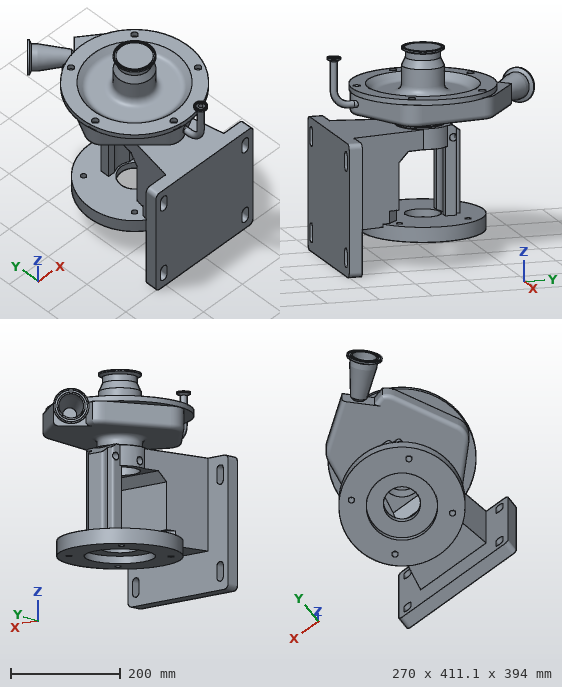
import cadquery as cq
import math


PLATE_SIZE = 250.0
PLATE_THICKNESS = 25.0
PLATE_FRONT_Y = -180.0
PLATE_BACK_Y = PLATE_FRONT_Y + PLATE_THICKNESS
PLATE_CORNER_RADIUS = 10.0
SLOT_WIDTH = 16.0
SLOT_LENGTH = 36.0
SLOT_SPACING_X = 210.0
SLOT_SPACING_Z = 180.0

MOTOR_FLANGE_RADIUS = 115.0
MOTOR_FLANGE_BOTTOM = 54.3
MOTOR_FLANGE_TOP = 82.5
MOTOR_BORE_RADIUS = 33.7
MOTOR_SPIGOT_RADIUS = 65.0
MOTOR_SPIGOT_DEPTH = 13.5
MOTOR_BOLT_CIRCLE_RADIUS = 93.0
MOTOR_BOLT_DIAMETER = 11.0
MOTOR_BOLT_COUNT = 4
MOTOR_BOLT_START_ANGLE = 45

HUB_RADIUS = 50.0
HUB_BORE_RADIUS = 37.5
HUB_BOTTOM = 212.5
HUB_TOP = 251.5
HUB_HOLE_DIAMETER = 15.0
HUB_HOLE_Z = 225.0
ARM_BOTTOM = 77.0
ARM_HUB_Y = -14.5
ARM_HUB_HALF_WIDTH = 48.0
ARM_PLATE_HALF_WIDTH = 75.0
ARM_FACE_Y = -63.5
ARM_CHAMFER = 18.5
BOLT_RELIEF_TOP = 105.2
BOLT_RELIEF_CLEARANCE = 15.5
LEG_FRONT_Y = 32.0
LEG_STEP_Y = 54.5
LEG_BACK_Y = 66.0
LEG_HALF_WIDTH = 34.5
LEG_RIB_HALF_WIDTH = 20.0
LEG_CORNER_RADIUS = 4.5
LEG_RIB_CORNER_RADIUS = 5.8
LEG_CHAMFER_Y = 19.7
LEG_CHAMFER_Z = 15.2
LEG_HOLE_DIAMETER = 14.0
LEG_HOLE_Y = 47.3
LEG_HOLE_Z = 228.5

CASING_BOTTOM = 273.0
CASING_APOTHEM = 114.5
CASING_CORNER_RADIUS = 34.5
CASING_FILLET = 8.5
CASING_SIDES = 5
FIRST_CORNER_ANGLE = 189
PLAIN_CORNER_COUNT = 3
SIDE_ANGLE = 360 / CASING_SIDES
OUTLET_ANGLE = 135
OUTLET_WALL_ANGLE = 54
OUTLET_WALL_OFFSET = 140.5
OUTLET_FACE_OFFSET = 110.0
OUTLET_FACE_INNER_EDGE = 65.8
VOLUTE_CORNER_SHIFT = 11.5
VOLUTE_CORNER_END_ANGLE = 114
NECK_RADIUS = 41.5
NECK_FILLET = 10.0
NECK_PILOT_RADIUS = 40.3
NECK_PILOT_HEIGHT = 1.5

COVER_DIAMETER = 270.0
COVER_BOTTOM = 315.3
COVER_TOP = 325.0
COVER_BOLT_CIRCLE_RADIUS = 121.5
COVER_BOLT_DIAMETER = 13.0
DISH_RADIUS = 105.0
DISH_FILLET = 15.2
DISH_DEPTH = DISH_FILLET
DISH_SLOPE_ANGLE = 45

FERRULE_RIM = 3.3
FERRULE_HEIGHT = 7.0
FERRULE_GROOVE_DEPTH = 1.2
FERRULE_GROOVE_SHARE = 0.4

INLET_TOP = 394.0
INLET_RADIUS = 39.0
INLET_NECK_RADIUS = 32.0
INLET_TAPER_BOTTOM = 359.5
INLET_TAPER_TOP = 375.0

OUTLET_Z = 292.5
OUTLET_SIDE_OFFSET = 95.5
OUTLET_END = 195.0
OUTLET_TAPER_START = 115.0
OUTLET_TAPER_END = 176.5
OUTLET_ROOT_RADIUS = 10.0
OUTLET_SMALL_RADIUS = 15.2
OUTLET_LARGE_RADIUS = 25.0
OUTLET_FERRULE_RADIUS = 32.5
OUTLET_BORE_RADIUS = 22.5
OUTLET_BORE_MIDDLE_RADIUS = 21.5
OUTLET_BORE_SMALL_RADIUS = 12.7
OUTLET_BORE_STRAIGHT = 12.7
OUTLET_BORE_MIDDLE_DEPTH = 25.0

DRAIN_Y = -170.0
DRAIN_Z = 295.5
DRAIN_TOP = 385.5
DRAIN_RADIUS = 6.5
DRAIN_BORE_RADIUS = 4.5
DRAIN_BEND_RADIUS = 28.5
DRAIN_START_Y = -107.0
DRAIN_BORE_START_Y = -131.5
DRAIN_FERRULE_RADIUS = 12.7


def polar(radius, angle, center=(0, 0)):
    """Point at a radius and an angle in degrees around a center."""
    turn = math.radians(angle)
    return (center[0] + radius * math.cos(turn), center[1] + radius * math.sin(turn))


def line_crossing(angle_a, offset_a, angle_b, offset_b):
    """Crossing of two lines, each given by the angle of its normal and its distance from the axis."""
    a, b = math.radians(angle_a), math.radians(angle_b)
    det = math.sin(b - a)
    x = (offset_a * math.sin(b) - offset_b * math.sin(a)) / det
    y = (offset_b * math.cos(a) - offset_a * math.cos(b)) / det
    return (x, y)


def cylinder(radius, bottom, top):
    return cq.Workplane("XY").workplane(offset=bottom).circle(radius).extrude(top - bottom)


def ferrule_groove(outer_radius, bore_radius):
    """Sealing groove in a ferrule face at Z = 0, midway between bore and rim."""
    middle = (outer_radius + bore_radius) / 2
    half_width = FERRULE_GROOVE_SHARE * (outer_radius - bore_radius) / 2
    ring = cq.Workplane("XY").circle(middle + half_width).circle(middle - half_width)
    return ring.extrude(-FERRULE_GROOVE_DEPTH)


def mounting_plate():
    plate = (
        cq.Workplane("XZ", origin=(0, PLATE_BACK_Y, PLATE_SIZE / 2))
        .rect(PLATE_SIZE, PLATE_SIZE)
        .extrude(PLATE_THICKNESS)
        .edges("|Y")
        .fillet(PLATE_CORNER_RADIUS)
    )
    slots = (
        cq.Workplane("XZ", origin=(0, PLATE_BACK_Y, PLATE_SIZE / 2))
        .rect(SLOT_SPACING_X, SLOT_SPACING_Z, forConstruction=True)
        .vertices()
        .slot2D(SLOT_LENGTH, SLOT_WIDTH, 90)
        .extrude(PLATE_THICKNESS)
    )
    return plate.cut(slots)


def motor_flange():
    spigot_top = MOTOR_FLANGE_BOTTOM + MOTOR_SPIGOT_DEPTH
    disc = cylinder(MOTOR_FLANGE_RADIUS, MOTOR_FLANGE_BOTTOM, MOTOR_FLANGE_TOP)
    disc = disc.cut(cylinder(MOTOR_SPIGOT_RADIUS, MOTOR_FLANGE_BOTTOM, spigot_top))
    return (
        disc.faces(">Z")
        .workplane(origin=(0, 0, MOTOR_FLANGE_TOP))
        .hole(2 * MOTOR_BORE_RADIUS)
        .polarArray(MOTOR_BOLT_CIRCLE_RADIUS, MOTOR_BOLT_START_ANGLE, 360, MOTOR_BOLT_COUNT)
        .hole(MOTOR_BOLT_DIAMETER)
    )


def arm():
    """Tapered arm from the hub to the plate, with bolt reliefs in its two lower corners."""
    plan = (
        cq.Workplane("XY")
        .workplane(offset=ARM_BOTTOM)
        .moveTo(-ARM_HUB_HALF_WIDTH, ARM_HUB_Y)
        .lineTo(ARM_HUB_HALF_WIDTH, ARM_HUB_Y)
        .lineTo(ARM_PLATE_HALF_WIDTH, PLATE_BACK_Y)
        .lineTo(-ARM_PLATE_HALF_WIDTH, PLATE_BACK_Y)
        .close()
        .extrude(PLATE_SIZE - ARM_BOTTOM)
    )
    side = (
        cq.Workplane("YZ")
        .moveTo(ARM_HUB_Y, PLATE_SIZE)
        .lineTo(ARM_HUB_Y, HUB_BOTTOM)
        .lineTo(ARM_FACE_Y + ARM_CHAMFER, HUB_BOTTOM)
        .lineTo(ARM_FACE_Y, HUB_BOTTOM - ARM_CHAMFER)
        .lineTo(ARM_FACE_Y, ARM_BOTTOM)
        .lineTo(PLATE_BACK_Y, ARM_BOTTOM)
        .lineTo(PLATE_BACK_Y, PLATE_SIZE)
        .close()
        .extrude(ARM_PLATE_HALF_WIDTH, both=True)
    )
    body = plan.intersect(side)
    relief_height = BOLT_RELIEF_TOP - MOTOR_FLANGE_TOP
    relief_size = 2 * BOLT_RELIEF_CLEARANCE
    for angle in (-MOTOR_BOLT_START_ANGLE, MOTOR_BOLT_START_ANGLE - 180):
        x, y = polar(MOTOR_BOLT_CIRCLE_RADIUS, angle)
        relief = (
            cq.Workplane("XY")
            .box(2 * relief_size, relief_size, relief_height, centered=(True, True, False))
            .rotate((0, 0, 0), (0, 0, 1), angle)
            .translate((x, y, MOTOR_FLANGE_TOP))
        )
        body = body.cut(relief)
    return body


def leg():
    """Rear leg with a narrower rib on its back and a sloped top."""
    height = HUB_TOP - MOTOR_FLANGE_TOP

    def bar(half_width, back_y, corner_radius):
        return (
            cq.Workplane("XY")
            .workplane(offset=MOTOR_FLANGE_TOP)
            .moveTo(0, (LEG_FRONT_Y + back_y) / 2)
            .rect(2 * half_width, back_y - LEG_FRONT_Y)
            .extrude(height)
            .edges("|Z and >Y")
            .fillet(corner_radius)
        )

    body = bar(LEG_HALF_WIDTH, LEG_STEP_Y, LEG_CORNER_RADIUS)
    body = body.union(bar(LEG_RIB_HALF_WIDTH, LEG_BACK_Y, LEG_RIB_CORNER_RADIUS))
    slope = (
        cq.Workplane("YZ")
        .moveTo(LEG_BACK_Y, HUB_TOP)
        .lineTo(LEG_BACK_Y - LEG_CHAMFER_Y, HUB_TOP)
        .lineTo(LEG_BACK_Y, HUB_TOP - LEG_CHAMFER_Z)
        .close()
        .extrude(LEG_HALF_WIDTH, both=True)
    )
    return body.cut(slope)


def bracket():
    """Hub, arm and leg, bored from below, with the cross holes."""
    body = cylinder(HUB_RADIUS, HUB_BOTTOM, HUB_TOP).union(arm()).union(leg())
    body = body.cut(cylinder(HUB_BORE_RADIUS, MOTOR_FLANGE_TOP, PLATE_SIZE))
    leg_hole = (
        cq.Workplane("YZ")
        .center(LEG_HOLE_Y, LEG_HOLE_Z)
        .circle(LEG_HOLE_DIAMETER / 2)
        .extrude(HUB_RADIUS, both=True)
    )
    hub_hole = cq.Workplane("YZ").center(0, HUB_HOLE_Z).circle(HUB_HOLE_DIAMETER / 2).extrude(-HUB_RADIUS)
    return body.cut(leg_hole).cut(hub_hole)


def casing():
    radius = CASING_CORNER_RADIUS
    half_side = SIDE_ANGLE / 2
    corner_distance = (CASING_APOTHEM - radius) / math.cos(math.radians(half_side))

    left_wall_angle = FIRST_CORNER_ANGLE - half_side
    right_wall_angle = FIRST_CORNER_ANGLE + (PLAIN_CORNER_COUNT - 1) * SIDE_ANGLE + half_side - 360

    plain_center = polar(corner_distance, left_wall_angle - half_side)
    left_center = polar(VOLUTE_CORNER_SHIFT, left_wall_angle - 90, plain_center)
    right_center = line_crossing(
        right_wall_angle, CASING_APOTHEM - radius, OUTLET_WALL_ANGLE, OUTLET_WALL_OFFSET - radius
    )
    outlet_tip = line_crossing(OUTLET_WALL_ANGLE, OUTLET_WALL_OFFSET, OUTLET_ANGLE, OUTLET_FACE_OFFSET)
    outlet_root = line_crossing(
        OUTLET_ANGLE - 90, OUTLET_FACE_INNER_EDGE, OUTLET_ANGLE, OUTLET_FACE_OFFSET
    )

    corners = [(left_center, VOLUTE_CORNER_END_ANGLE, left_wall_angle)]
    for index in range(PLAIN_CORNER_COUNT):
        angle = FIRST_CORNER_ANGLE + index * SIDE_ANGLE
        corners.append((polar(corner_distance, angle), angle - half_side, angle + half_side))
    corners.append((right_center, right_wall_angle, OUTLET_WALL_ANGLE))

    outline = cq.Workplane("XY").workplane(offset=CASING_BOTTOM).moveTo(*outlet_root)
    for center, start, end in corners:
        outline = outline.lineTo(*polar(radius, start, center)).threePointArc(
            polar(radius, (start + end) / 2, center), polar(radius, end, center)
        )
    body = outline.lineTo(*outlet_tip).close().extrude(COVER_BOTTOM - CASING_BOTTOM)

    outlet_middle = cq.Vector(
        (outlet_tip[0] + outlet_root[0]) / 2, (outlet_tip[1] + outlet_root[1]) / 2, CASING_BOTTOM
    )
    wall_edges = [
        edge
        for edge in body.faces("<Z").edges().vals()
        if (edge.Center() - outlet_middle).Length > CASING_FILLET
    ]
    body = body.newObject(wall_edges).fillet(CASING_FILLET)

    neck = (
        cq.Workplane("XZ")
        .moveTo(0, HUB_TOP)
        .lineTo(NECK_PILOT_RADIUS, HUB_TOP)
        .lineTo(NECK_PILOT_RADIUS, HUB_TOP + NECK_PILOT_HEIGHT)
        .lineTo(NECK_RADIUS, HUB_TOP + NECK_PILOT_HEIGHT)
        .lineTo(NECK_RADIUS, CASING_BOTTOM - NECK_FILLET)
        .radiusArc((NECK_RADIUS + NECK_FILLET, CASING_BOTTOM), NECK_FILLET)
        .lineTo(0, CASING_BOTTOM)
        .close()
        .revolve(360, (0, 0, 0), (0, 1, 0))
    )
    recess = cylinder(DISH_RADIUS, COVER_BOTTOM - DISH_DEPTH, COVER_BOTTOM)
    return body.cut(recess).union(neck)


def cover_and_inlet():
    """Dished cover and closed inlet pipe as one turned body, and the cover bolt holes to cut from it."""
    cover_radius = COVER_DIAMETER / 2
    floor = COVER_TOP - DISH_DEPTH
    slope = math.radians(DISH_SLOPE_ANGLE)
    fillet_run = DISH_FILLET * math.sin(slope)
    fillet_rise = DISH_FILLET * (1 - math.cos(slope))
    slope_run = (DISH_DEPTH - fillet_rise) / math.tan(slope)
    slope_end = (DISH_RADIUS - slope_run, floor + fillet_rise)
    rim_bottom = INLET_TOP - FERRULE_RIM
    body = (
        cq.Workplane("XZ")
        .moveTo(0, COVER_BOTTOM - DISH_DEPTH)
        .lineTo(DISH_RADIUS, COVER_BOTTOM - DISH_DEPTH)
        .lineTo(DISH_RADIUS, COVER_BOTTOM)
        .lineTo(cover_radius, COVER_BOTTOM)
        .lineTo(cover_radius, COVER_TOP)
        .lineTo(DISH_RADIUS, COVER_TOP)
        .lineTo(*slope_end)
        .radiusArc((slope_end[0] - fillet_run, floor), DISH_FILLET)
        .lineTo(INLET_RADIUS + DISH_FILLET, floor)
        .radiusArc((INLET_RADIUS, floor + DISH_FILLET), DISH_FILLET)
        .lineTo(INLET_RADIUS, INLET_TAPER_BOTTOM)
        .lineTo(INLET_NECK_RADIUS, INLET_TAPER_TOP)
        .lineTo(INLET_NECK_RADIUS, INLET_TOP - FERRULE_HEIGHT)
        .lineTo(INLET_RADIUS, rim_bottom)
        .lineTo(INLET_RADIUS, INLET_TOP)
        .lineTo(0, INLET_TOP)
        .close()
        .revolve(360, (0, 0, 0), (0, 1, 0))
    )
    bolt_holes = (
        cq.Workplane("XY")
        .workplane(offset=COVER_BOTTOM)
        .polarArray(COVER_BOLT_CIRCLE_RADIUS, FIRST_CORNER_ANGLE, 360, CASING_SIDES)
        .circle(COVER_BOLT_DIAMETER / 2)
        .extrude(COVER_TOP - COVER_BOTTOM)
    )
    groove = ferrule_groove(INLET_RADIUS, INLET_NECK_RADIUS).translate((0, 0, INLET_TOP))
    return body.cut(groove), bolt_holes


def outlet_pipe():
    """Tapered pipe and its bore, turned about Z and then laid along the outlet direction."""
    rim_back = OUTLET_END - FERRULE_RIM
    bore_taper_end = OUTLET_END - OUTLET_BORE_STRAIGHT
    pipe = (
        cq.Workplane("XZ")
        .moveTo(0, OUTLET_FACE_OFFSET)
        .lineTo(OUTLET_ROOT_RADIUS, OUTLET_FACE_OFFSET)
        .lineTo(OUTLET_SMALL_RADIUS, OUTLET_TAPER_START)
        .lineTo(OUTLET_LARGE_RADIUS, OUTLET_TAPER_END)
        .lineTo(OUTLET_LARGE_RADIUS, OUTLET_END - FERRULE_HEIGHT)
        .lineTo(OUTLET_FERRULE_RADIUS, rim_back)
        .lineTo(OUTLET_FERRULE_RADIUS, OUTLET_END)
        .lineTo(OUTLET_BORE_RADIUS, OUTLET_END)
        .lineTo(OUTLET_BORE_RADIUS, bore_taper_end)
        .lineTo(OUTLET_BORE_MIDDLE_RADIUS, OUTLET_END - OUTLET_BORE_MIDDLE_DEPTH)
        .lineTo(OUTLET_BORE_SMALL_RADIUS, OUTLET_TAPER_START)
        .lineTo(0, OUTLET_TAPER_START)
        .close()
        .revolve(360, (0, 0, 0), (0, 1, 0))
    )
    groove = ferrule_groove(OUTLET_FERRULE_RADIUS, OUTLET_BORE_RADIUS).translate((0, 0, OUTLET_END))
    side_x, side_y = polar(OUTLET_SIDE_OFFSET, OUTLET_ANGLE - 90)
    return (
        pipe.cut(groove)
        .rotate((0, 0, 0), (0, 1, 0), 90)
        .rotate((0, 0, 0), (0, 0, 1), OUTLET_ANGLE)
        .translate((side_x, side_y, OUTLET_Z))
    )


def drain_tube(radius, start_y):
    """Round bar along the drain path: out of the casing, then bent upward."""
    bend_start = DRAIN_Y + DRAIN_BEND_RADIUS
    bend_top = DRAIN_Z + DRAIN_BEND_RADIUS
    lower_outer_angle = 225
    middle = polar(DRAIN_BEND_RADIUS, lower_outer_angle, (bend_start, bend_top))
    path = (
        cq.Workplane("YZ")
        .moveTo(start_y, DRAIN_Z)
        .lineTo(bend_start, DRAIN_Z)
        .threePointArc(middle, (DRAIN_Y, bend_top))
        .lineTo(DRAIN_Y, DRAIN_TOP)
    )
    return cq.Workplane("XZ", origin=(0, start_y, DRAIN_Z)).circle(radius).sweep(path)


def drain_ferrule():
    """Clamp ferrule on the upper end of the drain pipe."""
    profile = (
        cq.Workplane("XZ")
        .lineTo(DRAIN_FERRULE_RADIUS, 0)
        .lineTo(DRAIN_FERRULE_RADIUS, -FERRULE_RIM)
        .lineTo(DRAIN_RADIUS, -FERRULE_HEIGHT)
        .lineTo(0, -FERRULE_HEIGHT)
        .close()
    )
    ferrule = profile.revolve(360, (0, 0, 0), (0, 1, 0))
    groove = ferrule_groove(DRAIN_FERRULE_RADIUS, DRAIN_RADIUS)
    return ferrule.cut(groove).translate((0, DRAIN_Y, DRAIN_TOP))


stand = mounting_plate().union(motor_flange()).union(bracket())
cover, cover_bolt_holes = cover_and_inlet()
pump = casing().union(cover).cut(cover_bolt_holes).union(outlet_pipe())
pump = pump.union(drain_tube(DRAIN_RADIUS, DRAIN_START_Y)).union(drain_ferrule())
pump = pump.cut(drain_tube(DRAIN_BORE_RADIUS, DRAIN_BORE_START_Y))
result = stand.union(pump)